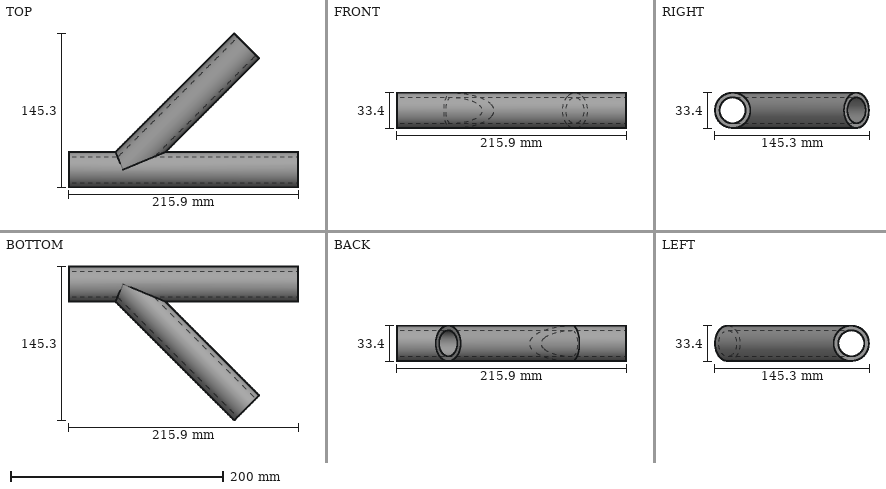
import cadquery as cq
import math

OUTER_DIAMETER = 33.4
BORE_DIAMETER = 24.31

RUN_LENGTH = 215.9
RUN_START_TO_JUNCTION = 50.8

BRANCH_LENGTH = 165.1
BRANCH_ANGLE = 45.0


def rod(diameter, start, direction, length):
    """Solid cylinder from a start point along a direction."""
    end_plane = cq.Plane(origin=start, normal=direction)
    return cq.Workplane(end_plane).circle(diameter / 2).extrude(length)


def run_rod(diameter):
    """Cylinder over the full length of the run."""
    return rod(diameter, (-RUN_START_TO_JUNCTION, 0, 0), (1, 0, 0), RUN_LENGTH)


def branch_rod(diameter):
    """Cylinder from the junction to the open end of the branch."""
    angle = math.radians(BRANCH_ANGLE)
    direction = (math.cos(angle), math.sin(angle), 0)
    return rod(diameter, (0, 0, 0), direction, BRANCH_LENGTH)


outside = run_rod(OUTER_DIAMETER).union(branch_rod(OUTER_DIAMETER))
result = outside.cut(run_rod(BORE_DIAMETER)).cut(branch_rod(BORE_DIAMETER))